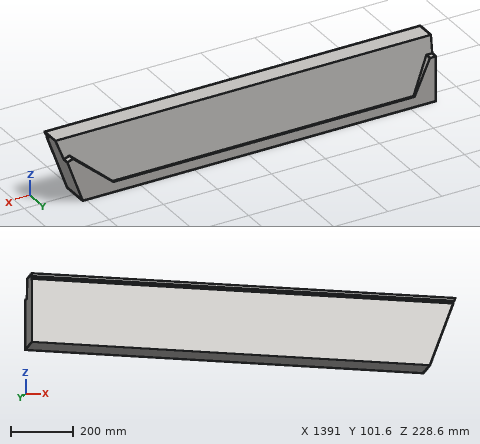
import cadquery as cq
import math

LENGTH = 1391.0
THICKNESS = 101.6
HEIGHT = 228.6
END_ANGLE = 20.0

TOP_WIDTH = 69.85
LEDGE_DEPTH = 23.35
LEDGE_DROP = 63.5
LIP_THICKNESS = 9.525
GROOVE_HEIGHT = 9.525
GROOVE_DEPTH = 9.525

END_WALL = 22.225
LEFT_POCKET_ANGLE = 24.25
RIGHT_POCKET_ANGLE = 49.75
FLOOR_Z = 38.1

LEDGE_Z = HEIGHT - LEDGE_DROP
LEDGE_Y = THICKNESS - LEDGE_DEPTH
BACK_SLOPE = (LEDGE_Y - TOP_WIDTH) / LEDGE_DROP
POCKET_DEPTH = LEDGE_Z - FLOOR_Z
END_SLOPE = math.tan(math.radians(END_ANGLE))
SHOULDER_X = LENGTH - LEDGE_DROP * END_SLOPE - END_WALL / math.cos(math.radians(END_ANGLE))


def make_body():
    """Constant stepped section along X, with a sloping upper back face."""
    section = [
        (0, 0),
        (THICKNESS, 0),
        (THICKNESS, LEDGE_Z),
        (LEDGE_Y, LEDGE_Z),
        (TOP_WIDTH, HEIGHT),
        (0, HEIGHT),
    ]
    return cq.Workplane("YZ").polyline(section).close().extrude(LENGTH)


def make_groove():
    """Square groove just below the top edge of the front face."""
    bottom = HEIGHT - LIP_THICKNESS - GROOVE_HEIGHT
    groove = cq.Workplane("XY").box(LENGTH, GROOVE_DEPTH, GROOVE_HEIGHT, centered=False)
    return groove.translate((0, 0, bottom))


def make_end_trim():
    """Wedge that leaves the right-hand end undercut from top to bottom."""
    wedge = [(LENGTH, HEIGHT), (LENGTH, 0), (LENGTH - HEIGHT * END_SLOPE, 0)]
    return cq.Workplane("XZ").polyline(wedge).close().extrude(-THICKNESS)


def make_right_shoulder():
    """Wedge that tips the right-hand end of the ledge square to the leaning end face."""
    wedge = [
        (SHOULDER_X, LEDGE_Z),
        (LENGTH, LEDGE_Z),
        (LENGTH, LEDGE_Z - (LENGTH - SHOULDER_X) * END_SLOPE),
    ]
    prism = cq.Workplane("XZ").polyline(wedge).close().extrude(-THICKNESS)
    return prism.intersect(make_behind_slope())


def make_behind_slope():
    """Space behind the back slope, from the pocket floor up to the ledge."""
    section = [
        (LEDGE_Y, LEDGE_Z),
        (THICKNESS, LEDGE_Z),
        (THICKNESS, FLOOR_Z),
        (LEDGE_Y + BACK_SLOPE * POCKET_DEPTH, FLOOR_Z),
    ]
    return cq.Workplane("YZ").polyline(section).close().extrude(LENGTH)


def make_pocket():
    """Back pocket: its inner face continues the back slope and its ends narrow towards the floor."""
    left_run = POCKET_DEPTH * math.tan(math.radians(LEFT_POCKET_ANGLE))
    right_run = POCKET_DEPTH * math.tan(math.radians(RIGHT_POCKET_ANGLE))
    outline = [
        (END_WALL, LEDGE_Z),
        (SHOULDER_X, LEDGE_Z),
        (SHOULDER_X - right_run, FLOOR_Z),
        (END_WALL + left_run, FLOOR_Z),
    ]
    prism = cq.Workplane("XZ").polyline(outline).close().extrude(-THICKNESS)
    return prism.intersect(make_behind_slope())


result = make_body()
result = result.cut(make_groove())
result = result.cut(make_end_trim())
result = result.cut(make_pocket())
result = result.cut(make_right_shoulder())